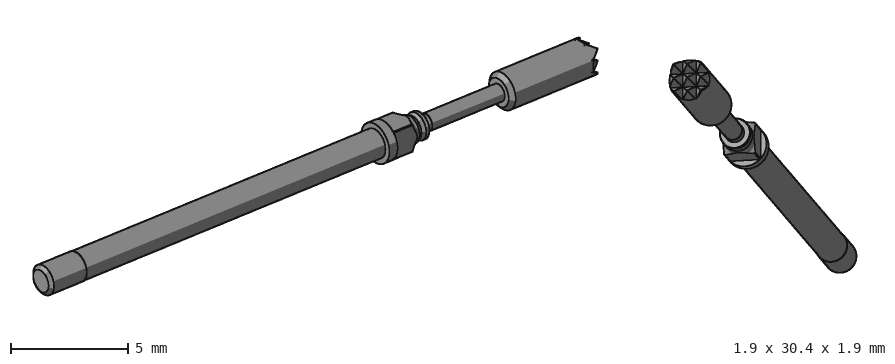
import cadquery as cq
import math

LENGTH = 30.4
TIP_Y = LENGTH / 2
END_Y = -LENGTH / 2

HEAD_DIAMETER = 1.75
HEAD_LENGTH = 5.02
HEAD_CHAMFER = 0.2
TOOTH_HALF_PITCH = 0.295
TEETH_PER_ROW = 3
TOOTH_ANGLE = 60.0

ROD_DIAMETER = 0.82
NECK_DIAMETER = 0.8
NECK_LENGTH = 0.35

MOUTH_Y = 5.8
MOUTH_DIAMETER = 1.3
MOUTH_RIM = 0.18
GROOVE_WIDTH = 0.35
GROOVE_DEPTH = 0.1

SQUARE_WIDTH = 1.37
FLARE_RADIUS = 0.43

COLLAR_DIAMETER = 1.9
COLLAR_TOP_Y = 3.8
COLLAR_THICKNESS = 0.45

BARREL_DIAMETER = 1.37
TAIL_DIAMETER = 1.4
TAIL_LENGTH = 1.98
END_CHAMFER_LENGTH = 0.15
END_CHAMFER_DEPTH = 0.18

HEAD_BACK_Y = TIP_Y - HEAD_LENGTH
GROOVE_TOP_Y = MOUTH_Y - MOUTH_RIM
GROOVE_BOTTOM_Y = GROOVE_TOP_Y - GROOVE_WIDTH
COLLAR_BOTTOM_Y = COLLAR_TOP_Y - COLLAR_THICKNESS


def cylinder(diameter, y_low, y_high):
    """Solid cylinder on the Y axis between two Y positions."""
    height = y_high - y_low
    return cq.Workplane("XZ", origin=(0, y_high, 0)).circle(diameter / 2).extrude(height)


def turned(points):
    """Solid of revolution about Y from (radius, y) points that start and end on the axis."""
    return cq.Workplane("XY").polyline(points).close().revolve(360, (0, 0, 0), (0, 1, 0))


def tooth_groove(offset):
    """V-groove running along Z across the crown, centred at x = offset."""
    depth = TOOTH_HALF_PITCH / math.tan(math.radians(TOOTH_ANGLE / 2))
    profile = [
        (offset - TOOTH_HALF_PITCH, TIP_Y),
        (offset, TIP_Y - depth),
        (offset + TOOTH_HALF_PITCH, TIP_Y),
    ]
    return cq.Workplane("XY").polyline(profile).close().extrude(HEAD_DIAMETER, both=True)


def crown_head():
    head = cylinder(HEAD_DIAMETER, HEAD_BACK_Y, TIP_Y)
    head = head.faces("<Y").chamfer(HEAD_CHAMFER)
    for index in range(TEETH_PER_ROW + 1):
        groove = tooth_groove((2 * index - TEETH_PER_ROW) * TOOTH_HALF_PITCH)
        head = head.cut(groove)
        head = head.cut(groove.rotate((0, 0, 0), (0, 1, 0), 90))
    return head


def rod():
    neck_top = MOUTH_Y + NECK_LENGTH
    neck = turned([
        (0, neck_top),
        (NECK_DIAMETER / 2, neck_top),
        (ROD_DIAMETER / 2, MOUTH_Y),
        (0, MOUTH_Y),
    ])
    return cylinder(ROD_DIAMETER, neck_top, HEAD_BACK_Y).union(neck)


def mouth():
    radius = MOUTH_DIAMETER / 2
    return turned([
        (0, MOUTH_Y),
        (radius, MOUTH_Y),
        (radius, GROOVE_TOP_Y),
        (radius - GROOVE_DEPTH, GROOVE_TOP_Y - GROOVE_WIDTH / 2),
        (radius, GROOVE_BOTTOM_Y),
        (0, GROOVE_BOTTOM_Y),
    ])


def wrench_square():
    """Square bar trimmed by a concave flare in front and by the collar diameter around its corners."""
    height = GROOVE_BOTTOM_Y - COLLAR_TOP_Y
    square = (
        cq.Workplane("XZ", origin=(0, GROOVE_BOTTOM_Y, 0))
        .rect(SQUARE_WIDTH, SQUARE_WIDTH)
        .extrude(height)
    )
    front_radius = MOUTH_DIAMETER / 2
    corner_radius = COLLAR_DIAMETER / 2
    end_angle = math.acos(1 - (corner_radius - front_radius) / FLARE_RADIUS)

    def flare_point(angle):
        radius = front_radius + FLARE_RADIUS * (1 - math.cos(angle))
        return (radius, GROOVE_BOTTOM_Y - FLARE_RADIUS * math.sin(angle))

    envelope = (
        cq.Workplane("XY")
        .moveTo(0, GROOVE_BOTTOM_Y)
        .lineTo(front_radius, GROOVE_BOTTOM_Y)
        .threePointArc(flare_point(end_angle / 2), flare_point(end_angle))
        .lineTo(corner_radius, COLLAR_TOP_Y)
        .lineTo(0, COLLAR_TOP_Y)
        .close()
        .revolve(360, (0, 0, 0), (0, 1, 0))
    )
    return square.intersect(envelope)


def barrel():
    tail_top = END_Y + TAIL_LENGTH
    tail_radius = TAIL_DIAMETER / 2
    tail = turned([
        (0, tail_top),
        (tail_radius, tail_top),
        (tail_radius, END_Y + END_CHAMFER_LENGTH),
        (tail_radius - END_CHAMFER_DEPTH, END_Y),
        (0, END_Y),
    ])
    return cylinder(BARREL_DIAMETER, tail_top, COLLAR_BOTTOM_Y).union(tail)


collar = cylinder(COLLAR_DIAMETER, COLLAR_BOTTOM_Y, COLLAR_TOP_Y)

result = crown_head()
for section in (rod(), mouth(), wrench_square(), collar, barrel()):
    result = result.union(section)